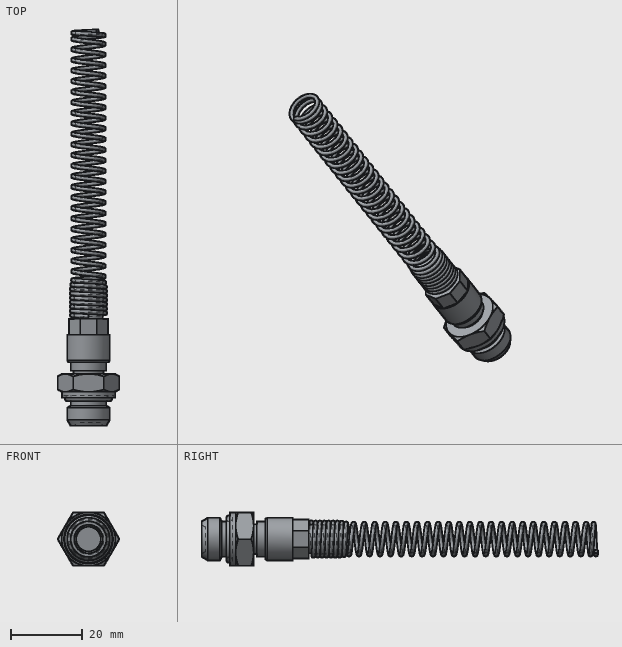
import cadquery as cq
import math

TOTAL_LENGTH = 111.0

THREAD_RADIUS = 6.0
NECK_RADIUS = 5.0
TIP_RADIUS = 5.0
BEVEL_SLOPE = math.tan(math.radians(30))
TIP_BEVEL_LENGTH = (THREAD_RADIUS - TIP_RADIUS) / BEVEL_SLOPE
THREAD_END = 5.7
THREAD_BACK_BEVEL = (THREAD_RADIUS - NECK_RADIUS) * BEVEL_SLOPE

BORE_MOUTH_RADIUS = 4.0
BORE_FLOOR_RADIUS = 3.4
BORE_DEPTH = 1.0

HEX_ACROSS_FLATS = 15.0
HEX_CORNER_RADIUS = HEX_ACROSS_FLATS / math.sqrt(3)
COLLAR_RADIUS = HEX_ACROSS_FLATS / 2
COLLAR_START = 7.9
HEX_START = 9.5
HEX_END = 14.5
HEX_BEVEL = (HEX_CORNER_RADIUS - COLLAR_RADIUS) * BEVEL_SLOPE

UNDERCUT_RADIUS = 4.2
UNDERCUT_END = 15.4

RING_WIRE_RADIUS = 0.83
RING_CENTRE_RADIUS = NECK_RADIUS + RING_WIRE_RADIUS
RING_FRONT = 6.9
RING_CENTRE = RING_FRONT + RING_WIRE_RADIUS
RING_RECESS_RADIUS = 6.9
RING_RECESS_FLOOR = RING_CENTRE + RING_WIRE_RADIUS

NUT_START = 17.8
NUT_RADIUS = 6.0
NUT_CHAMFER_RADIAL = 0.3
NUT_CHAMFER_AXIAL = 0.7
OCTAGON_START = 25.5
OCTAGON_END = 30.0
OCTAGON_ACROSS_FLATS = 11.0
STUB_RADIUS = 4.0
STUB_END = 38.3

WIRE_RADIUS = 0.59
CLOSE_OUTER_RADIUS = 5.2
OPEN_OUTER_RADIUS = 4.9
CLOSE_COIL_RADIUS = CLOSE_OUTER_RADIUS - WIRE_RADIUS
OPEN_COIL_RADIUS = OPEN_OUTER_RADIUS - WIRE_RADIUS
CLOSE_PITCH = 1.2
CLOSE_TURNS = 8.0
RAMP_TURNS = 1.0
OPEN_TURNS = 22.0
END_TURNS = 0.6
TAPER_START_TURN = 6.5
TAPER_TURNS = 2.0
POINTS_PER_TURN = 16
SPRING_GAP = 0.1
SPRING_START = OCTAGON_END + SPRING_GAP + WIRE_RADIUS
SPRING_LENGTH = TOTAL_LENGTH - WIRE_RADIUS - SPRING_START
SPRING_TURNS = CLOSE_TURNS + OPEN_TURNS + END_TURNS + 2 * RAMP_TURNS
EXTRA_PITCH = (SPRING_LENGTH - CLOSE_PITCH * SPRING_TURNS) / (OPEN_TURNS + RAMP_TURNS)


def revolved(profile):
    """Solid of revolution about Y from (radius, y) points."""
    return cq.Workplane("XY").polyline(profile).close().revolve(360, (0, 0, 0), (0, 1, 0))


def prism(sides, corner_radius, turn, start, end):
    """Regular prism along Y, with one corner at the given angle from X."""
    corners = []
    for i in range(sides):
        angle = turn + 2 * math.pi * i / sides
        corners.append((corner_radius * math.cos(angle), corner_radius * math.sin(angle)))
    return cq.Workplane("XZ", origin=(0, start, 0)).polyline(corners).close().extrude(start - end)


def make_fitting():
    turned = revolved([
        (0, BORE_DEPTH),
        (BORE_FLOOR_RADIUS, BORE_DEPTH),
        (BORE_MOUTH_RADIUS, 0),
        (TIP_RADIUS, 0),
        (THREAD_RADIUS, TIP_BEVEL_LENGTH),
        (THREAD_RADIUS, THREAD_END - THREAD_BACK_BEVEL),
        (NECK_RADIUS, THREAD_END),
        (NECK_RADIUS, RING_RECESS_FLOOR),
        (RING_RECESS_RADIUS, RING_RECESS_FLOOR),
        (RING_RECESS_RADIUS, COLLAR_START),
        (COLLAR_RADIUS, COLLAR_START),
        (COLLAR_RADIUS, HEX_START),
        (UNDERCUT_RADIUS, HEX_START),
        (UNDERCUT_RADIUS, UNDERCUT_END),
        (NECK_RADIUS, UNDERCUT_END),
        (NECK_RADIUS, NUT_START),
        (0, NUT_START),
    ])
    corner_bevel = revolved([
        (0, HEX_START),
        (COLLAR_RADIUS, HEX_START),
        (HEX_CORNER_RADIUS, HEX_START + HEX_BEVEL),
        (HEX_CORNER_RADIUS, HEX_END - HEX_BEVEL),
        (COLLAR_RADIUS, HEX_END),
        (0, HEX_END),
    ])
    hexagon = prism(6, HEX_CORNER_RADIUS, 0, HEX_START, HEX_END).intersect(corner_bevel)
    return turned.union(hexagon)


def make_ring():
    return (
        cq.Workplane("XY")
        .center(RING_CENTRE_RADIUS, RING_CENTRE)
        .circle(RING_WIRE_RADIUS)
        .revolve(360, (-RING_CENTRE_RADIUS, 0, 0), (-RING_CENTRE_RADIUS, 1, 0))
    )


def make_nut():
    turned = revolved([
        (0, NUT_START),
        (NUT_RADIUS - NUT_CHAMFER_RADIAL, NUT_START),
        (NUT_RADIUS, NUT_START + NUT_CHAMFER_AXIAL),
        (NUT_RADIUS, OCTAGON_START),
        (STUB_RADIUS, OCTAGON_START),
        (STUB_RADIUS, STUB_END),
        (0, STUB_END),
    ])
    half_side_angle = math.pi / 8
    corner_radius = OCTAGON_ACROSS_FLATS / 2 / math.cos(half_side_angle)
    return turned.union(prism(8, corner_radius, half_side_angle, OCTAGON_START, OCTAGON_END))


def ramp_area(turn, start):
    """Area, up to a turn, under a line that rises from 0 to 1 over one ramp and then stays at 1."""
    rise = min(max(turn - start, 0), RAMP_TURNS)
    return rise ** 2 / (2 * RAMP_TURNS) + max(turn - start - RAMP_TURNS, 0)


def spring_point(turn):
    """Centre of the wire after a number of turns; the wire starts at +Z and winds toward -X."""
    first_ramp = CLOSE_TURNS
    second_ramp = CLOSE_TURNS + RAMP_TURNS + OPEN_TURNS
    extra = EXTRA_PITCH * (ramp_area(turn, first_ramp) - ramp_area(turn, second_ramp))
    taper = min(max((turn - TAPER_START_TURN) / TAPER_TURNS, 0), 1)
    ease = taper ** 2 * (3 - 2 * taper)
    radius = CLOSE_COIL_RADIUS + (OPEN_COIL_RADIUS - CLOSE_COIL_RADIUS) * ease
    angle = 2 * math.pi * turn
    y = SPRING_START + CLOSE_PITCH * turn + extra
    return cq.Vector(-radius * math.sin(angle), y, radius * math.cos(angle))


def make_spring():
    steps = round(SPRING_TURNS * POINTS_PER_TURN)
    points = [spring_point(SPRING_TURNS * i / steps) for i in range(steps + 1)]
    path = cq.Workplane("XY").spline(points)
    start_face = cq.Plane(origin=points[0], xDir=(0, 0, 1), normal=path.val().tangentAt(0))
    return cq.Workplane(start_face).circle(WIRE_RADIUS).sweep(path, isFrenet=True)


fitting = make_fitting()
ring = make_ring()
nut = make_nut()
spring = make_spring()

result = cq.Compound.makeCompound([fitting.val(), ring.val(), nut.val(), spring.val()])